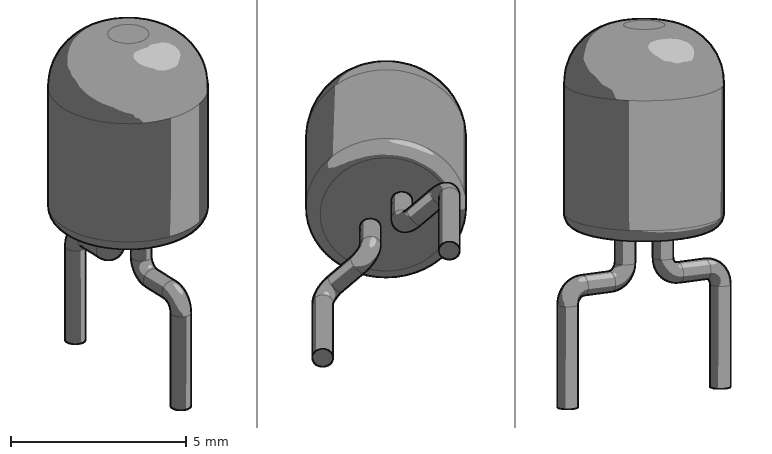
import cadquery as cq
import math

total_height = 10.89
body_diameter = 4.57
body_height = 5.9
dome_radius = 1.7
base_fillet = 0.4

wire_diameter = 0.6
bend_radius = 0.5
inner_offset = 0.63
outer_offset = 2.54
jog_drop = 1.48

lead_length = total_height - body_height


def make_body():
    """Cylinder with a domed top and a rounded bottom edge."""
    cylinder = cq.Workplane("XY").circle(body_diameter / 2).extrude(body_height)
    return cylinder.faces(">Z").edges().fillet(dome_radius).faces("<Z").edges().fillet(base_fillet)


def make_lead(side):
    """Round wire that steps outward in X; side is +1 or -1."""
    arc_mid = bend_radius * math.sqrt(0.5)
    upper_centre = (inner_offset + bend_radius, -jog_drop + bend_radius)
    lower_centre = (outer_offset - bend_radius, -jog_drop - bend_radius)

    def at(x, z):
        return (side * x, z)

    path = (
        cq.Workplane("XZ")
        .moveTo(*at(inner_offset, 0))
        .lineTo(*at(inner_offset, upper_centre[1]))
        .threePointArc(
            at(upper_centre[0] - arc_mid, upper_centre[1] - arc_mid),
            at(upper_centre[0], -jog_drop),
        )
        .lineTo(*at(lower_centre[0], -jog_drop))
        .threePointArc(
            at(lower_centre[0] + arc_mid, lower_centre[1] + arc_mid),
            at(outer_offset, lower_centre[1]),
        )
        .lineTo(*at(outer_offset, -lead_length))
    )
    wire_section = cq.Workplane("XY").center(side * inner_offset, 0).circle(wire_diameter / 2)
    return wire_section.sweep(path)


body = make_body()
leads = [make_lead(side) for side in (-1, 1)]

result = cq.Compound.makeCompound([body.val(), *[lead.val() for lead in leads]])